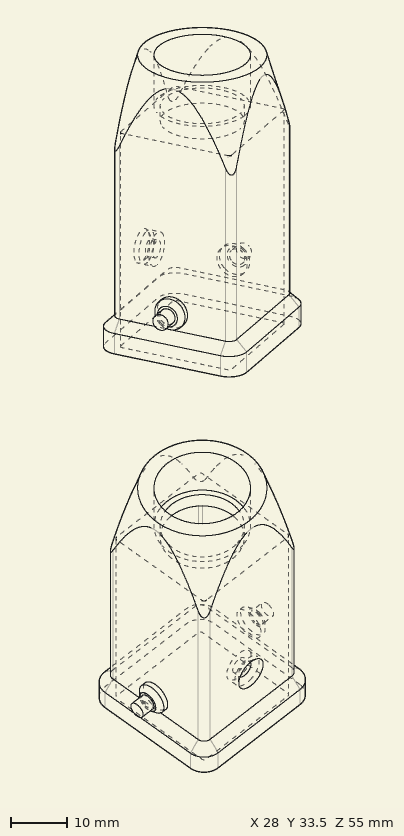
import cadquery as cq
import math

height = 55.0
pin_span = 33.5

foot_width = 28.0
foot_side_height = 4.0
body_width = 24.0
body_corner_radius = 1.5
foot_overhang = (foot_width - body_width) / 2
foot_corner_radius = body_corner_radius + foot_overhang
foot_height = foot_side_height + foot_overhang

nose_top_diameter = 23.0
nose_angle = 16.5

wall_thickness = 1.0
cavity_width = body_width - 2 * wall_thickness
cavity_corner_radius = body_corner_radius - wall_thickness
cavity_height = 42.0
bore_diameter = 14.95
counterbore_diameter = 17.15
counterbore_depth = 10.0

pin_z = 9.5
pin_diameter = 3.0
collar_diameter = 6.0
collar_straight_length = 1.0
collar_length = foot_overhang
collar_taper = collar_length - collar_straight_length

screw_z = 15.0
screw_diameter = 3.2
countersink_diameter = 6.25
countersink_angle = 90.0
screw_hole_length = 2.95
boss_diameter = countersink_diameter


def rounded_square_prism(width, corner_radius, length):
    """Upright square prism on Z = 0 with rounded vertical edges."""
    return cq.Workplane("XY").rect(width, width).extrude(length).edges("|Z").fillet(corner_radius)


def make_foot():
    block = rounded_square_prism(foot_width, foot_corner_radius, foot_height)
    return block.faces(">Z").chamfer(foot_overhang)


def make_nose_envelope():
    """Solid of revolution that limits the body to the conical nose."""
    top_radius = nose_top_diameter / 2
    bottom_radius = top_radius + height * math.tan(math.radians(nose_angle))
    outline = [(0, 0), (bottom_radius, 0), (top_radius, height), (0, height)]
    return cq.Workplane("XZ").polyline(outline).close().revolve(360, (0, 0), (0, 1))


def make_body():
    return rounded_square_prism(body_width, body_corner_radius, height).intersect(make_nose_envelope())


def make_cavity():
    """Rounded square cavity, less the boss that thickens the -X wall around the screw hole."""
    cavity = rounded_square_prism(cavity_width, cavity_corner_radius, cavity_height)
    boss = (
        cq.Workplane("YZ", origin=(-body_width / 2, 0, screw_z))
        .circle(boss_diameter / 2)
        .extrude(screw_hole_length)
    )
    return cavity.cut(boss)


def make_bore():
    """Through bore with a wider counterbore at the top."""
    bore = cq.Workplane("XY").circle(bore_diameter / 2).extrude(height)
    counterbore = (
        cq.Workplane("XY", origin=(0, 0, height))
        .circle(counterbore_diameter / 2)
        .extrude(-counterbore_depth)
    )
    return bore.union(counterbore)


def make_pins():
    """Both pins and their chamfered collars, on one shaft along Y."""
    middle = cq.Workplane("XZ", origin=(0, 0, pin_z))
    shaft = middle.circle(pin_diameter / 2).extrude(pin_span / 2, both=True)
    collars = (
        middle.circle(collar_diameter / 2)
        .extrude(body_width / 2 + collar_length, both=True)
        .faces("<Y or >Y")
        .chamfer(collar_taper)
    )
    return shaft.union(collars)


def make_screw_hole_cutter():
    """Solid of revolution about X: countersink cone, then a straight hole into the cavity."""
    mouth_radius = countersink_diameter / 2
    hole_radius = screw_diameter / 2
    countersink_depth = (mouth_radius - hole_radius) / math.tan(math.radians(countersink_angle / 2))
    outline = [
        (0, 0),
        (0, mouth_radius),
        (countersink_depth, hole_radius),
        (screw_hole_length, hole_radius),
        (screw_hole_length, 0),
    ]
    return (
        cq.Workplane("XZ", origin=(-body_width / 2, 0, screw_z))
        .polyline(outline)
        .close()
        .revolve(360, (0, 0), (1, 0))
    )


outside = make_foot().union(make_body()).union(make_pins())
result = outside.cut(make_cavity()).cut(make_bore()).cut(make_screw_hole_cutter())